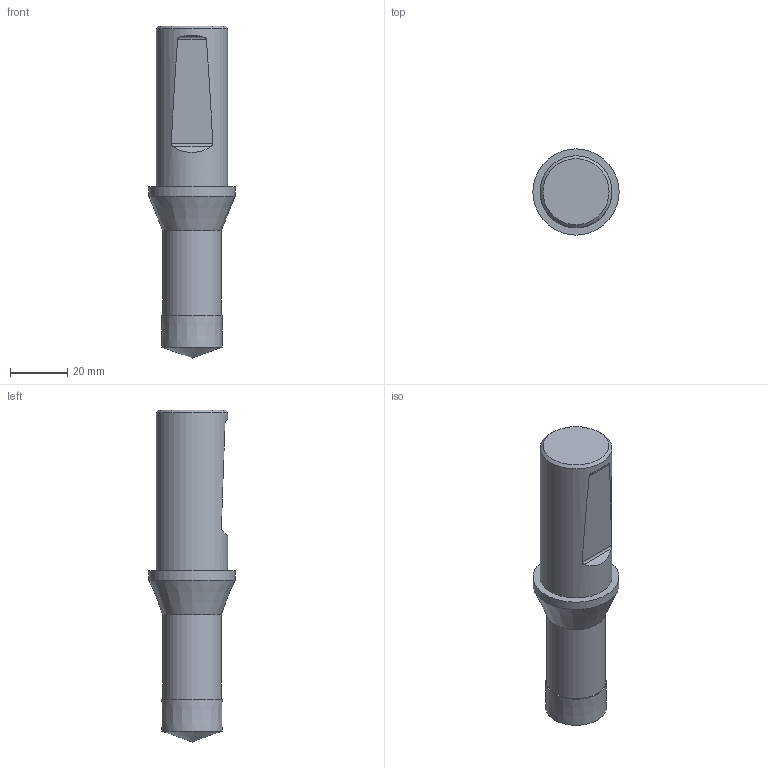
import cadquery as cq
import math

total_length = 115.5
clamp_length = 56.0
collar_height = 3.15
collar_cone_height = 12.0
tip_length = 11.1
point_angle_from_flat = 20.0

clamp_diameter = 25.0
collar_diameter = 30.0
neck_diameter = 20.4
tip_rear_diameter = 20.96
tip_front_diameter = 21.0
clamp_chamfer = 1.0

flat_angle = 2.0
flat_wall_angle = 45.0
flat_corner_radius = 1.5
flat_start_from_end = 4.1
flat_end_from_end = 41.5
flat_deep_end_depth = 2.32

clamp_radius = clamp_diameter / 2
collar_radius = collar_diameter / 2
neck_radius = neck_diameter / 2
tip_front_radius = tip_front_diameter / 2
tip_rear_radius = tip_rear_diameter / 2
point_height = tip_front_radius * math.tan(math.radians(point_angle_from_flat))
tip_top = point_height + tip_length
collar_top = total_length - clamp_length
collar_bottom = collar_top - collar_height
collar_cone_bottom = collar_bottom - collar_cone_height


def revolve_about_z(outline):
    """Turn a closed (radius, height) outline one full revolution about Z."""
    return cq.Workplane("XZ").polyline(outline).close().revolve(360, (0, 0, 0), (0, 1, 0))


def make_flat_cutter():
    """Prism that mills the inclined flat, with angled end walls and rounded floor corners."""
    slope = math.tan(math.radians(flat_angle))
    flat_run = flat_end_from_end - flat_start_from_end
    lower_floor_y = -clamp_radius + flat_deep_end_depth
    lower_floor_z = total_length - flat_end_from_end
    upper_floor_y = lower_floor_y - flat_run * slope
    upper_floor_z = total_length - flat_start_from_end

    outside_y = -collar_radius
    lower_wall_slope = math.tan(math.radians(flat_wall_angle - flat_angle))
    upper_wall_slope = math.tan(math.radians(flat_wall_angle + flat_angle))
    lower_outside_z = lower_floor_z - (lower_floor_y - outside_y) / lower_wall_slope
    upper_outside_z = upper_floor_z + (upper_floor_y - outside_y) / upper_wall_slope

    return (
        cq.Workplane("YZ")
        .moveTo(outside_y, lower_outside_z)
        .lineTo(lower_floor_y, lower_floor_z)
        .lineTo(upper_floor_y, upper_floor_z)
        .lineTo(outside_y, upper_outside_z)
        .close()
        .extrude(clamp_radius, both=True)
        .edges("|X")
        .edges("not <Y")
        .fillet(flat_corner_radius)
    )


def make_shank():
    """Clamping shank, collar, cone and neck as one turned body with the inclined flat."""
    outline = [
        (0, tip_top),
        (neck_radius, tip_top),
        (neck_radius, collar_cone_bottom),
        (collar_radius, collar_bottom),
        (collar_radius, collar_top),
        (clamp_radius, collar_top),
        (clamp_radius, total_length - clamp_chamfer),
        (clamp_radius - clamp_chamfer, total_length),
        (0, total_length),
    ]
    return revolve_about_z(outline).cut(make_flat_cutter())


def make_tip():
    """Slightly back-tapered cutting tip with a conical point, seated on the end of the neck."""
    outline = [
        (0, 0),
        (tip_front_radius, point_height),
        (tip_rear_radius, tip_top),
        (0, tip_top),
    ]
    return revolve_about_z(outline)


shank = make_shank()
tip = make_tip()

result = cq.Compound.makeCompound([shank.val(), tip.val()])